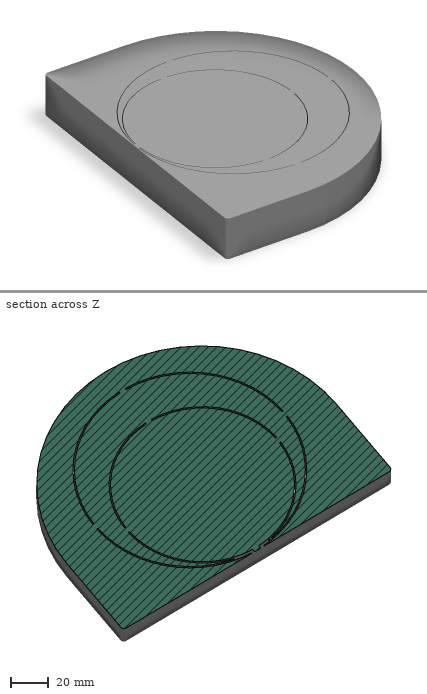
import cadquery as cq

width = 174.0
thickness = 25.0
back_radius = width / 2
depth = 138.0
back_center_y = depth - back_radius
corner_radius = 2.1

cut_width = 0.5
bridge_width = 4.0
inner_cut_radius = 49.0
inner_cut_center_y = 50.3
outer_cut_radius = 61.5
front_web = 0.3
outer_cut_center_y = outer_cut_radius + front_web


def ring_cut(center_y, radius):
    """Through-cut ring interrupted by bridges on its X and Y axes."""
    ring = (
        cq.Workplane("XY")
        .center(0, center_y)
        .circle(radius)
        .circle(radius - cut_width)
        .extrude(thickness)
    )
    bridge_length = 2 * radius + bridge_width
    bridges = (
        cq.Workplane("XY")
        .center(0, center_y)
        .rect(bridge_length, bridge_width)
        .extrude(thickness)
        .union(
            cq.Workplane("XY")
            .center(0, center_y)
            .rect(bridge_width, bridge_length)
            .extrude(thickness)
        )
    )
    return ring.cut(bridges)


plate = (
    cq.Workplane("XY")
    .moveTo(-width / 2, 0)
    .lineTo(width / 2, 0)
    .lineTo(width / 2, back_center_y)
    .threePointArc((0, depth), (-width / 2, back_center_y))
    .close()
    .extrude(thickness)
    .edges("|Z and <Y")
    .fillet(corner_radius)
)

result = plate.cut(ring_cut(inner_cut_center_y, inner_cut_radius))
result = result.cut(ring_cut(outer_cut_center_y, outer_cut_radius))